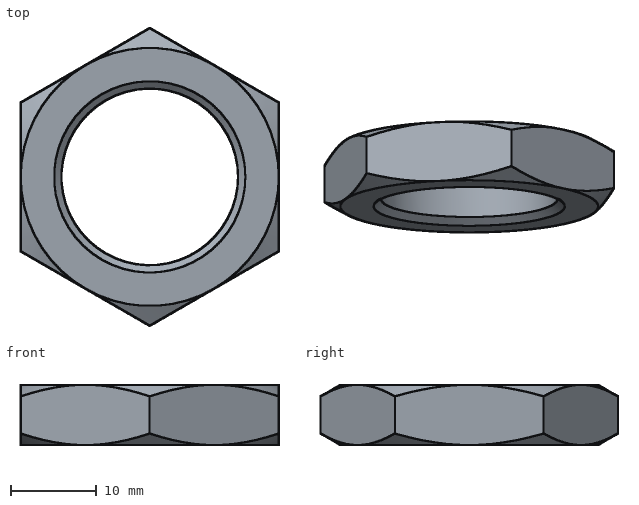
import cadquery as cq
import math

across_corners = 34.65
thickness = 7.0
bore_diameter = 20.5
countersink_diameter = 22.25
corner_chamfer_angle = 30.0
countersink_angle = 45.0

corner_radius = across_corners / 2
flat_radius = corner_radius * math.cos(math.pi / 6)
bore_radius = bore_diameter / 2
countersink_radius = countersink_diameter / 2
corner_drop = (corner_radius - flat_radius) * math.tan(math.radians(corner_chamfer_angle))
countersink_depth = (countersink_radius - bore_radius) * math.tan(math.radians(countersink_angle))


def hexagon_prism():
    """Hexagon with two corners on the Y axis."""
    return (
        cq.Workplane("XY")
        .transformed(rotate=(0, 0, 90))
        .polygon(6, across_corners)
        .extrude(thickness)
    )


def turned_envelope():
    """Ring with the bore, its countersinks and the conical corner chamfers."""
    profile = [
        (bore_radius, countersink_depth),
        (countersink_radius, 0),
        (flat_radius, 0),
        (corner_radius, corner_drop),
        (corner_radius, thickness - corner_drop),
        (flat_radius, thickness),
        (countersink_radius, thickness),
        (bore_radius, thickness - countersink_depth),
    ]
    return cq.Workplane("XZ").polyline(profile).close().revolve(360, (0, 0, 0), (0, 1, 0))


result = hexagon_prism().intersect(turned_envelope())